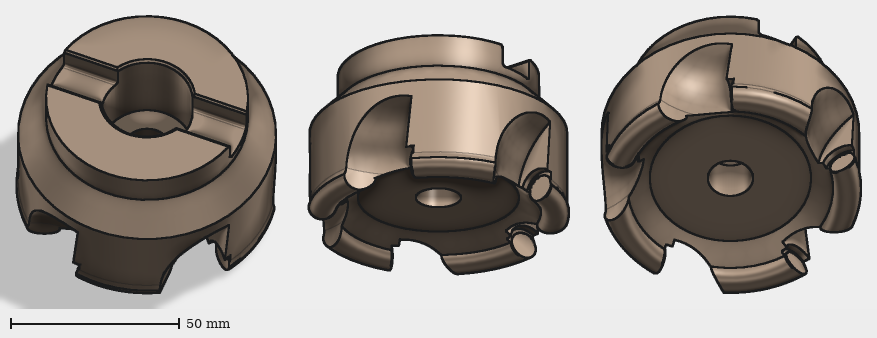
import cadquery as cq
import math

total_height = 48.1
cutting_diameter = 77.6
cutting_radius = cutting_diameter / 2
body_radius = 38.3
hub_radius = 30.0
hub_base_z = 38.15
shoulder_z = 29.8

tooth_count = 5
insert_radius = 4.2
insert_circle_radius = cutting_radius - insert_radius
bead_inner_radius = insert_circle_radius - insert_radius
bead_top_z = insert_radius + math.sqrt(insert_radius**2 - (body_radius - insert_circle_radius) ** 2)

recess_ceiling_z = 8.8
recess_ceiling_radius = 23.95

bore_radius = 13.5
bore_floor_z = 23.2
bore_chamfer = 0.8
hole_radius = 6.7

slot_length = 2 * body_radius
slot_width = 12.6
slot_depth = 6.9
slot_chamfer = 0.7
slot_fillet = 1.1

first_insert_angle = 45.0
radial_rake = 12.0
axial_rake = 5.5
flute_radius = 24.7
flute_offset = 17.4
flute_lead = 1.15
flute_rise = -0.1
seat_radius = 5.6
seat_depth = 2.2
insert_proud = 0.4
flute_face_y = -(seat_depth - insert_proud)
cut_length = 30.9


def make_body():
    """Revolve the outer body, including the insert bead and bottom recess."""
    diagonal = insert_radius * math.sqrt(0.5)
    return (
        cq.Workplane("XZ")
        .moveTo(0, recess_ceiling_z)
        .lineTo(recess_ceiling_radius, recess_ceiling_z)
        .lineTo(bead_inner_radius, insert_radius)
        .threePointArc(
            (insert_circle_radius - diagonal, insert_radius - diagonal),
            (insert_circle_radius, 0),
        )
        .threePointArc(
            (insert_circle_radius + diagonal, insert_radius - diagonal),
            (cutting_radius, insert_radius),
        )
        .radiusArc((body_radius, bead_top_z), insert_radius)
        .lineTo(body_radius, shoulder_z)
        .lineTo(hub_radius, hub_base_z)
        .lineTo(hub_radius, total_height)
        .lineTo(0, total_height)
        .close()
        .revolve(360, (0, 0, 0), (0, 1, 0))
    )


def make_bore():
    """Chamfered blind bore with a through hole in its floor."""
    chamfer_z = total_height - bore_chamfer
    return (
        cq.Workplane("XZ")
        .lineTo(hole_radius, 0)
        .lineTo(hole_radius, bore_floor_z)
        .lineTo(bore_radius, bore_floor_z)
        .lineTo(bore_radius, chamfer_z)
        .lineTo(bore_radius + bore_chamfer, total_height)
        .lineTo(0, total_height)
        .close()
        .revolve(360, (0, 0, 0), (0, 1, 0))
    )


def make_drive_slot():
    """Slot along X with rounded floor corners and chamfered top edges."""
    half_width = slot_width / 2
    top_half_width = half_width + slot_chamfer
    channel = (
        cq.Workplane("XY", origin=(0, 0, total_height - slot_depth))
        .box(slot_length, slot_width, slot_depth, centered=(True, True, False))
        .edges("|X and <Z")
        .fillet(slot_fillet)
    )
    flare = (
        cq.Workplane("YZ", origin=(-slot_length / 2, 0, total_height))
        .moveTo(-top_half_width, 0)
        .lineTo(top_half_width, 0)
        .lineTo(half_width, -slot_chamfer)
        .lineTo(-half_width, -slot_chamfer)
        .close()
        .extrude(slot_length)
    )
    return channel.union(flare)


def make_chip_pocket():
    """Pocket at the first insert.

    Built with the insert centre as origin, X outward along the insert face
    and Y into the tooth, then tilted by the rake angles and moved into place.
    """
    flute = (
        cq.Workplane("XZ", origin=(flute_offset, flute_face_y - flute_lead, flute_rise))
        .moveTo(0, -cut_length)
        .lineTo(flute_radius, -cut_length)
        .lineTo(flute_radius, 0)
        .radiusArc((0, flute_radius), -flute_radius)
        .close()
        .revolve(360, (0, 0, 0), (0, 1, 0))
    )
    tooth_side = cq.Workplane("XY", origin=(flute_offset, flute_face_y, 0)).box(
        2 * cut_length, cut_length, 3 * cut_length, centered=(True, False, True)
    )
    flute = flute.cut(tooth_side)

    seat = (
        cq.Workplane("XZ", origin=(0, insert_proud, 0))
        .circle(seat_radius)
        .extrude(seat_depth)
    )
    insert = cq.Workplane("XZ", origin=(0, insert_proud, 0)).circle(insert_radius).extrude(insert_proud)
    pocket = flute.union(seat.cut(insert))
    return (
        pocket.rotate((0, 0, 0), (1, 0, 0), -axial_rake)
        .rotate((0, 0, 0), (0, 0, 1), -radial_rake)
        .translate((insert_circle_radius, 0, insert_radius))
        .rotate((0, 0, 0), (0, 0, 1), first_insert_angle)
    )


result = make_body().cut(make_bore()).cut(make_drive_slot())
chip_pocket = make_chip_pocket()
for tooth in range(tooth_count):
    result = result.cut(chip_pocket.rotate((0, 0, 0), (0, 0, 1), tooth * 360 / tooth_count))